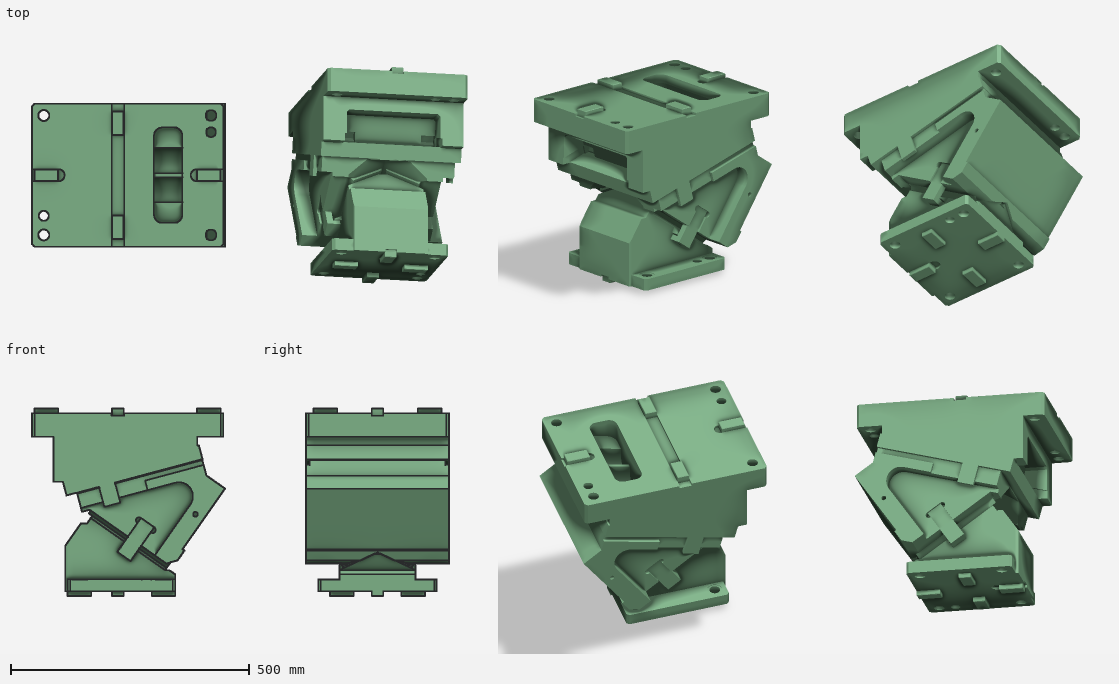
import cadquery as cq
import math


HALF_WIDTH = 150.0
TOP_FACE_Z = 373.0
GUIDE_ANGLE = 15.0
CAM_ANGLE = 35.0
CROSS_ANGLE = GUIDE_ANGLE + CAM_ANGLE
VEE_SLOPE = math.tan(math.radians(30))

KEY_WIDTH = 25.0
KEY_LENGTH = 50.0
KEY_HEIGHT = 10.0
KEY_CHAMFER = 1.0
KEY_SLOT_DEPTH = 5.5
KEY_SLOT_LENGTH = 68.5
CROSS_SLOT_WIDTH = 26.5

PLATE_LEFT_X = -180.0
PLATE_RIGHT_X = 221.0
PLATE_THICKNESS = 50.0
PLATE_CHAMFER = 6.0
BODY_LEFT_X = -135.0
BODY_RIGHT_X = 166.5
BODY_LEFT_Z = 229.0
BODY_RIGHT_Z = 305.7
HOLDER_LEFT_U = -52.0
HOLDER_RIGHT_U = 243.0
HOLDER_BOTTOM_V = 221.5
TONGUE_LEFT_U = 18.4
TONGUE_RIGHT_U = 53.0
TONGUE_BOTTOM_V = 178.0
LEDGE_HALF_WIDTH = 142.0
TOP_KEY_INSET = 5.5
TOP_CROSS_KEY_Y = 109.0
SCREW_HOLE = 22.5
DOWEL_HOLE = 20.5
LEFT_HOLES_X = -155.0
RIGHT_HOLES_X = 195.0
HOLES_Y = 125.0
LEFT_DOWEL_Y = -85.0
RIGHT_DOWEL_Y = 90.0

WINDOW_LEFT_X = 75.5
WINDOW_RIGHT_X = 135.0
WINDOW_LENGTH = 200.0
WINDOW_RADIUS = 18.0
WINDOW_BEND_Z = 354.0
WINDOW_FLOOR_V = 294.5
GROOVE_RADIUS = 26.5
GROOVE_Y = 30.5
GROOVE_AXIS_V = 280.5

CHAMBER_HALF_WIDTH = 100.0
CHAMBER_TOP_Z = 296.5
CHAMBER_CORNER = 5.0
CHAMBER_FLOOR_V = 252.5
CHAMBER_WALL_U = -10.0
CHANNEL_HALF_WIDTH = 104.0
CHANNEL_TOP_V = 271.5
NICHE_INNER_Y = 70.5
NICHE_TOP_V = 274.6
NICHE_DEPTH = 9.0
NICHE_STEP = 3.0
NICHE_RAMP = 5.5

SLIDE_LEFT_U = -29.5
SLIDE_RIGHT_U = 242.0
SLIDE_TOP_V = 219.5
LEDGE_BOTTOM_V = 188.5
SLIDE_LEFT_BOTTOM_V = 180.0
SLIDE_RIGHT_BOTTOM_V = 30.0
SLIDE_BOTTOM_T = 105.8
SLIDE_TIP_X = 224.52
SLIDE_TIP_T = 305.0
HEEL_S = 65.3
HEEL_TOP_T = 150.0
CORE_HALF_WIDTH = 118.0
STRAP_LEFT_U = 115.0
STRAP_TOP_V = 209.0
STRAP_INNER_S = 20.0
STRAP_RADIUS = 29.5
SIDE_HOLE_X = 162.3
SIDE_HOLE_Z = 161.3
SIDE_HOLE = 10.0
SIDE_HOLE_DEPTH = 20.0
VEE_HALF_WIDTH = 84.0
WEAR_PLATE_THICKNESS = 4.8
WEAR_PLATE_INNER_Y = 5.0
WEAR_PLATE_OUTER_Y = 70.5
WEAR_PLATE_LEFT_S = -143.5

HOOK_CENTRE_S = -31.5
HOOK_WIDTH = 34.0
HOOK_TOP_T = 153.5
HOOK_BOTTOM_T = 67.0
HOOK_FOOT_TOP_T = 78.0
HOOK_OUTER_Y = 113.0
HOOK_INNER_Y = 99.5
HOOK_FOOT_Y = 85.0
RELIEF_RADIUS = 6.5
RELIEF_OFFSET_S = 17.5
RELIEF_T = 147.0

BASE_LEFT_X = -110.5
BASE_RIGHT_X = 120.5
BASE_HALF_WIDTH = 80.0
BASE_EDGE_LENGTH = 5.5
BASE_EDGE_DEPTH = 1.5
FLANGE_LEFT_X = -105.0
FLANGE_HALF_WIDTH = 124.0
FLANGE_THICKNESS = 25.0
FLANGE_CHAMFER = 5.5
BACK_S = -145.0
ROOF_LEFT_S = -134.5
ROOF_RIGHT_S = 55.5
EAVE_T = 93.0
RIDGE_HALF_WIDTH = 10.0
BACK_LEDGE_Z = 142.0
FRONT_LEDGE_Z = 44.6
FRONT_LEDGE_X = 107.0
FRONT_EDGE_Z = 35.4
LUG_OUTER_Y = 95.5
LUG_BOTTOM_T = 81.0
BASE_KEY_LEFT_X = -105.5
BASE_KEY_RIGHT_X = 70.5
BASE_CROSS_KEY_Y = 74.5
BASE_HOLES_Y = 100.0
BASE_HOLES_X = (-80.0, 95.0)
BASE_DOWEL_X = 60.0
SPOTFACE = 31.5
SPOTFACE_DEPTH = 1.0

GUIDE_COS, GUIDE_SIN = math.cos(math.radians(GUIDE_ANGLE)), math.sin(math.radians(GUIDE_ANGLE))
CAM_COS, CAM_SIN = math.cos(math.radians(CAM_ANGLE)), math.sin(math.radians(CAM_ANGLE))
CROSS_COS, CROSS_SIN = math.cos(math.radians(CROSS_ANGLE)), math.sin(math.radians(CROSS_ANGLE))


def guide(u, v):
    """(X, Z) of a point u along the guide and v square to it."""
    return (u * GUIDE_COS - v * GUIDE_SIN, u * GUIDE_SIN + v * GUIDE_COS)


def cam(s, t):
    """(X, Z) of a point s along the cam face and t square to it."""
    return (s * CAM_COS + t * CAM_SIN, t * CAM_COS - s * CAM_SIN)


def guide_at_x(x, v):
    """Point on the guide line v at the given X."""
    return (x, (v + x * GUIDE_SIN) / GUIDE_COS)


def guide_u(x, v):
    """Distance u at which the guide line v has the given X."""
    return (x + v * GUIDE_SIN) / GUIDE_COS


def guide_end_at_z(u, z):
    """Point at height z on the line square to the guide at u."""
    return ((u - z * GUIDE_SIN) / GUIDE_COS, z)


def cam_end_at_z(s, z):
    """Point at height z on the line square to the cam face at s."""
    return ((s + z * CAM_SIN) / CAM_COS, z)


def cam_end_at_x(s, x):
    """Point at X on the line square to the cam face at s."""
    return (x, (x * CAM_COS - s) / CAM_SIN)


def cam_meets_guide(t, v):
    """Where the cam line t crosses the guide line v."""
    return cam((t * CROSS_COS - v) / CROSS_SIN, t)


def cam_meets_guide_end(t, u):
    """Where the cam line t crosses the line square to the guide at u."""
    return cam((u - t * CROSS_SIN) / CROSS_COS, t)


def cam_end_meets_guide(s, v):
    """Where the line square to the cam face at s crosses the guide line v."""
    return cam(s, (v + s * CROSS_SIN) / CROSS_COS)


def prism(points, low_y, high_y):
    """Extrude an (X, Z) outline between two Y values."""
    plane = cq.Workplane("XZ", origin=(0, high_y, 0))
    return plane.polyline(points).close().extrude(high_y - low_y)


def centred_prism(points, half_width):
    return prism(points, -half_width, half_width)


def both_sides(body):
    """The body together with its mirror image across Y = 0."""
    return body.union(body.mirror("XZ"))


def box(low_x, high_x, low_y, high_y, low_z, high_z):
    sheet = cq.Workplane("XY", origin=((low_x + high_x) / 2, (low_y + high_y) / 2, low_z))
    return sheet.rect(high_x - low_x, high_y - low_y).extrude(high_z - low_z)


def along_cam(points, start_s, end_s):
    """Extrude a (Y, t) section along the cam face."""
    x, z = cam(start_s, 0)
    plane = cq.Plane(origin=(x, 0, z), xDir=(0, 1, 0), normal=(CAM_COS, 0, -CAM_SIN))
    return cq.Workplane(plane).polyline(points).close().extrude(end_s - start_s)


def hole(x, y, diameter, low_z, high_z):
    return cq.Workplane("XY", origin=(x, y, low_z)).circle(diameter / 2).extrude(high_z - low_z)


def key(centre_x, centre_y, length_x, length_y, low_z, high_z, outer_face):
    """Key block with a chamfer around its outer face."""
    blank = cq.Workplane("XY", origin=(centre_x, centre_y, low_z)).rect(length_x, length_y)
    return blank.extrude(high_z - low_z).faces(outer_face).chamfer(KEY_CHAMFER)


def key_slot(edge_x, end_x, low_z, high_z):
    """Slot open at edge_x, with a round end reaching end_x."""
    radius = KEY_WIDTH / 2
    centre_x = end_x - math.copysign(radius, end_x - edge_x)
    left_x, right_x = sorted((edge_x, centre_x))
    straight = box(left_x, right_x, -radius, radius, low_z, high_z)
    return straight.union(hole(centre_x, 0, KEY_WIDTH, low_z, high_z))


WINDOW_WALL_U = WINDOW_RIGHT_X * GUIDE_COS + WINDOW_BEND_Z * GUIDE_SIN
PLATE_BOTTOM_Z = TOP_FACE_Z - PLATE_THICKNESS


def holder_blank():
    plate = box(PLATE_LEFT_X, PLATE_RIGHT_X, -HALF_WIDTH, HALF_WIDTH, PLATE_BOTTOM_Z, TOP_FACE_Z)
    plate = plate.edges("|Z").chamfer(PLATE_CHAMFER)
    body = centred_prism(
        [
            (BODY_LEFT_X, PLATE_BOTTOM_Z),
            (BODY_LEFT_X, BODY_LEFT_Z),
            guide_end_at_z(HOLDER_LEFT_U, BODY_LEFT_Z),
            guide(HOLDER_LEFT_U, HOLDER_BOTTOM_V),
            guide(HOLDER_RIGHT_U, HOLDER_BOTTOM_V),
            guide_end_at_z(HOLDER_RIGHT_U, BODY_RIGHT_Z),
            (BODY_RIGHT_X, BODY_RIGHT_Z),
            (BODY_RIGHT_X, PLATE_BOTTOM_Z),
        ],
        HALF_WIDTH,
    )
    guide_pad = centred_prism(
        [
            guide(SLIDE_LEFT_U, SLIDE_TOP_V),
            guide(SLIDE_RIGHT_U, SLIDE_TOP_V),
            guide(SLIDE_RIGHT_U, HOLDER_BOTTOM_V),
            guide(SLIDE_LEFT_U, HOLDER_BOTTOM_V),
        ],
        LEDGE_HALF_WIDTH,
    )
    tongue = prism(
        [
            guide(TONGUE_LEFT_U, HOLDER_BOTTOM_V),
            guide(TONGUE_LEFT_U, TONGUE_BOTTOM_V),
            guide(TONGUE_RIGHT_U, TONGUE_BOTTOM_V),
            guide(TONGUE_RIGHT_U, HOLDER_BOTTOM_V),
        ],
        LEDGE_HALF_WIDTH,
        HALF_WIDTH,
    )
    return plate.union(body).union(guide_pad).union(both_sides(tongue))


def chamber():
    """Opening in the left face, with a channel along its floor and a niche on each side."""
    wall_foot = guide(CHAMBER_WALL_U, CHAMBER_FLOOR_V)
    mouth_foot = guide_end_at_z(HOLDER_LEFT_U, BODY_LEFT_Z)
    mouth_floor = guide(HOLDER_LEFT_U, CHAMBER_FLOOR_V)
    room = centred_prism(
        [
            (BODY_LEFT_X, BODY_LEFT_Z),
            mouth_foot,
            mouth_floor,
            wall_foot,
            guide_end_at_z(CHAMBER_WALL_U, CHAMBER_TOP_Z),
            (BODY_LEFT_X, CHAMBER_TOP_Z),
        ],
        CHAMBER_HALF_WIDTH,
    )
    room = room.faces(">Z").edges("|X").chamfer(CHAMBER_CORNER)
    channel = centred_prism(
        [
            (BODY_LEFT_X, BODY_LEFT_Z),
            mouth_foot,
            mouth_floor,
            wall_foot,
            guide(CHAMBER_WALL_U, CHANNEL_TOP_V),
            guide_at_x(BODY_LEFT_X, CHANNEL_TOP_V),
        ],
        CHANNEL_HALF_WIDTH,
    )
    niche_end_u = CHAMBER_WALL_U + NICHE_DEPTH
    niche = prism(
        [
            wall_foot,
            guide(niche_end_u, CHAMBER_FLOOR_V),
            guide(niche_end_u, CHAMBER_FLOOR_V + NICHE_STEP),
            guide(niche_end_u + NICHE_RAMP, CHAMBER_FLOOR_V + NICHE_STEP + NICHE_RAMP),
            guide(niche_end_u + NICHE_RAMP, NICHE_TOP_V),
            guide(CHAMBER_WALL_U, NICHE_TOP_V),
        ],
        NICHE_INNER_Y,
        CHAMBER_HALF_WIDTH,
    )
    return room.union(channel).union(both_sides(niche))


def groove(y):
    """U-shaped spring groove running along the guide, open at the window floor."""
    start_u = guide_u(WINDOW_LEFT_X, WINDOW_FLOOR_V) - GROOVE_RADIUS
    x, z = guide(start_u, GROOVE_AXIS_V)
    plane = cq.Plane(origin=(x, 0, z), xDir=(0, 1, 0), normal=(GUIDE_COS, 0, GUIDE_SIN))
    rise = WINDOW_FLOOR_V - GROOVE_AXIS_V
    section = cq.Workplane(plane).moveTo(y - GROOVE_RADIUS, rise).lineTo(y - GROOVE_RADIUS, 0)
    section = section.threePointArc((y, -GROOVE_RADIUS), (y + GROOVE_RADIUS, 0))
    section = section.lineTo(y + GROOVE_RADIUS, rise).close()
    return section.extrude(WINDOW_WALL_U - start_u)


def window():
    """Rounded opening in the top; below it a slanted floor with two grooves and a slanted end wall."""
    centre_x = (WINDOW_LEFT_X + WINDOW_RIGHT_X) / 2
    shaft = cq.Workplane("XY", origin=(centre_x, 0, WINDOW_BEND_Z))
    shaft = shaft.rect(WINDOW_RIGHT_X - WINDOW_LEFT_X, WINDOW_LENGTH)
    shaft = shaft.extrude(TOP_FACE_Z - WINDOW_BEND_Z)
    shaft = shaft.edges("|Z").fillet(WINDOW_RADIUS)
    pocket = centred_prism(
        [
            (WINDOW_LEFT_X, WINDOW_BEND_Z),
            guide_at_x(WINDOW_LEFT_X, WINDOW_FLOOR_V),
            guide(WINDOW_WALL_U, WINDOW_FLOOR_V),
            (WINDOW_RIGHT_X, WINDOW_BEND_Z),
        ],
        WINDOW_LENGTH / 2,
    )
    up_the_end_wall = cq.Vector(-GUIDE_SIN, 0, GUIDE_COS)
    pocket = pocket.edges("|Z").fillet(WINDOW_RADIUS)
    pocket = pocket.edges(cq.selectors.ParallelDirSelector(up_the_end_wall)).fillet(WINDOW_RADIUS)
    right_of_window = box(
        WINDOW_LEFT_X, PLATE_RIGHT_X, -HALF_WIDTH, HALF_WIDTH, HOLDER_BOTTOM_V, TOP_FACE_Z
    )
    grooves = groove(-GROOVE_Y).union(groove(GROOVE_Y)).intersect(right_of_window)
    return shaft.union(pocket).union(grooves)


def make_holder():
    holder = holder_blank().cut(chamber()).cut(window())
    slot_z = TOP_FACE_Z - KEY_SLOT_DEPTH
    key_top = TOP_FACE_Z + KEY_HEIGHT
    half_slot = CROSS_SLOT_WIDTH / 2
    holder = holder.cut(box(-half_slot, half_slot, -HALF_WIDTH, HALF_WIDTH, slot_z, TOP_FACE_Z))
    for edge_x, inward in ((PLATE_LEFT_X, 1), (PLATE_RIGHT_X, -1)):
        holder = holder.cut(key_slot(edge_x, edge_x + inward * KEY_SLOT_LENGTH, slot_z, TOP_FACE_Z))
        key_x = edge_x + inward * (TOP_KEY_INSET + KEY_LENGTH / 2)
        holder = holder.union(key(key_x, 0, KEY_LENGTH, KEY_WIDTH, slot_z, key_top, ">Z"))
    for y in (-TOP_CROSS_KEY_Y, TOP_CROSS_KEY_Y):
        holder = holder.union(key(0, y, KEY_WIDTH, KEY_LENGTH, slot_z, key_top, ">Z"))
    for x, dowel_y in ((LEFT_HOLES_X, LEFT_DOWEL_Y), (RIGHT_HOLES_X, RIGHT_DOWEL_Y)):
        for y in (-HOLES_Y, HOLES_Y):
            holder = holder.cut(hole(x, y, SCREW_HOLE, PLATE_BOTTOM_Z, TOP_FACE_Z))
        holder = holder.cut(hole(x, dowel_y, DOWEL_HOLE, PLATE_BOTTOM_Z, TOP_FACE_Z))
    return holder


TIP_S = (SLIDE_TIP_X - SLIDE_TIP_T * CAM_SIN) / CAM_COS
TIP = cam(TIP_S, SLIDE_TIP_T)
HEEL_OUTLINE = [
    cam(TIP_S, HEEL_TOP_T),
    cam(HEEL_S, HEEL_TOP_T),
    cam_end_meets_guide(HEEL_S, SLIDE_RIGHT_BOTTOM_V),
    cam_meets_guide(SLIDE_BOTTOM_T, SLIDE_RIGHT_BOTTOM_V),
]


def slide_blank():
    core = centred_prism(
        [
            guide(SLIDE_LEFT_U, LEDGE_BOTTOM_V),
            guide(SLIDE_RIGHT_U, LEDGE_BOTTOM_V),
            cam_meets_guide_end(SLIDE_TIP_T, SLIDE_RIGHT_U),
            TIP,
            *HEEL_OUTLINE,
            cam_meets_guide(SLIDE_BOTTOM_T, SLIDE_LEFT_BOTTOM_V),
            guide(SLIDE_LEFT_U, SLIDE_LEFT_BOTTOM_V),
        ],
        CORE_HALF_WIDTH,
    )
    ledge = centred_prism(
        [
            guide(SLIDE_LEFT_U, LEDGE_BOTTOM_V),
            guide(SLIDE_RIGHT_U, LEDGE_BOTTOM_V),
            guide(SLIDE_RIGHT_U, SLIDE_TOP_V),
            guide(SLIDE_LEFT_U, SLIDE_TOP_V),
        ],
        LEDGE_HALF_WIDTH,
    )
    return core.union(ledge)


def side_strap():
    """L-shaped strap that thickens one side of the slide, with a rounded inner corner."""
    corner = cam_end_meets_guide(STRAP_INNER_S, LEDGE_BOTTOM_V)
    strap = prism(
        [
            guide(STRAP_LEFT_U, LEDGE_BOTTOM_V),
            guide(STRAP_LEFT_U, STRAP_TOP_V),
            guide(SLIDE_RIGHT_U, STRAP_TOP_V),
            cam_meets_guide_end(SLIDE_TIP_T, SLIDE_RIGHT_U),
            TIP,
            *HEEL_OUTLINE,
            cam(STRAP_INNER_S, SLIDE_BOTTOM_T),
            corner,
        ],
        CORE_HALF_WIDTH,
        HALF_WIDTH,
    )
    middle_y = (CORE_HALF_WIDTH + HALF_WIDTH) / 2
    corner_edge = cq.selectors.NearestToPointSelector((corner[0], middle_y, corner[1]))
    strap = strap.edges("|Y").edges(corner_edge).fillet(STRAP_RADIUS)
    bore = cq.Workplane("XZ", origin=(SIDE_HOLE_X, HALF_WIDTH, SIDE_HOLE_Z))
    return strap.cut(bore.circle(SIDE_HOLE / 2).extrude(SIDE_HOLE_DEPTH))


def vee_height(y):
    """Height t of the base roof plane at distance y from the symmetry plane."""
    return EAVE_T + (BASE_HALF_WIDTH - y) * VEE_SLOPE


VEE_RISE = WEAR_PLATE_THICKNESS * math.hypot(1, VEE_SLOPE)


def vee_cutter():
    """Inverted vee cut out of the slide underside, one wear plate clear of the base roof."""
    edge_t = vee_height(VEE_HALF_WIDTH) + VEE_RISE
    return along_cam(
        [
            (-VEE_HALF_WIDTH, 0),
            (-VEE_HALF_WIDTH, edge_t),
            (0, vee_height(0) + VEE_RISE),
            (VEE_HALF_WIDTH, edge_t),
            (VEE_HALF_WIDTH, 0),
        ],
        WEAR_PLATE_LEFT_S - CORE_HALF_WIDTH,
        HEEL_S,
    )


RELIEF_PEAK_Y = (
    SLIDE_BOTTOM_T - vee_height(WEAR_PLATE_OUTER_Y)
    + VEE_HALF_WIDTH * VEE_SLOPE + WEAR_PLATE_OUTER_Y / VEE_SLOPE
) / (VEE_SLOPE + 1 / VEE_SLOPE)
RELIEF_PEAK_T = SLIDE_BOTTOM_T + (VEE_HALF_WIDTH - RELIEF_PEAK_Y) * VEE_SLOPE


def wear_plate():
    """Plate between the vee and the base roof, thicker along its outer edge."""
    vee_meets_bottom_y = BASE_HALF_WIDTH - (SLIDE_BOTTOM_T - EAVE_T - VEE_RISE) / VEE_SLOPE
    return along_cam(
        [
            (WEAR_PLATE_INNER_Y, vee_height(WEAR_PLATE_INNER_Y)),
            (WEAR_PLATE_OUTER_Y, vee_height(WEAR_PLATE_OUTER_Y)),
            (RELIEF_PEAK_Y, RELIEF_PEAK_T),
            (vee_meets_bottom_y, SLIDE_BOTTOM_T),
            (WEAR_PLATE_INNER_Y, vee_height(WEAR_PLATE_INNER_Y) + VEE_RISE),
        ],
        WEAR_PLATE_LEFT_S,
        ROOF_RIGHT_S,
    )


def edge_relief_groove():
    """Shallow groove in the slide underside along the outer edge of a wear plate."""
    return along_cam(
        [
            (WEAR_PLATE_OUTER_Y, SLIDE_BOTTOM_T),
            (RELIEF_PEAK_Y, RELIEF_PEAK_T),
            (VEE_HALF_WIDTH, SLIDE_BOTTOM_T),
        ],
        WEAR_PLATE_LEFT_S,
        HEEL_S,
    )


HOOK_LEFT_S = HOOK_CENTRE_S - HOOK_WIDTH / 2
HOOK_RIGHT_S = HOOK_CENTRE_S + HOOK_WIDTH / 2


def hook_seat():
    """Pocket in the slide side for a hook, with round reliefs at its upper corners."""
    seat = along_cam(
        [
            (HOOK_INNER_Y, SLIDE_BOTTOM_T),
            (CORE_HALF_WIDTH, SLIDE_BOTTOM_T),
            (CORE_HALF_WIDTH, HOOK_TOP_T),
            (HOOK_INNER_Y, HOOK_TOP_T),
        ],
        HOOK_LEFT_S,
        HOOK_RIGHT_S,
    )
    for offset in (-RELIEF_OFFSET_S, RELIEF_OFFSET_S):
        x, z = cam(HOOK_CENTRE_S + offset, RELIEF_T)
        relief = cq.Workplane("XZ", origin=(x, CORE_HALF_WIDTH, z)).circle(RELIEF_RADIUS)
        seat = seat.union(relief.extrude(CORE_HALF_WIDTH - HOOK_INNER_Y))
    return seat


def hook():
    """L-shaped return hook reaching under the lug of the base."""
    return along_cam(
        [
            (HOOK_INNER_Y, HOOK_TOP_T),
            (HOOK_OUTER_Y, HOOK_TOP_T),
            (HOOK_OUTER_Y, HOOK_BOTTOM_T),
            (HOOK_FOOT_Y, HOOK_BOTTOM_T),
            (HOOK_FOOT_Y, HOOK_FOOT_TOP_T),
            (HOOK_INNER_Y, HOOK_FOOT_TOP_T),
        ],
        HOOK_LEFT_S,
        HOOK_RIGHT_S,
    )


def make_slide():
    slide = slide_blank().union(both_sides(side_strap()))
    slide = slide.cut(vee_cutter()).cut(both_sides(edge_relief_groove())).cut(both_sides(hook_seat()))
    return slide.union(both_sides(wear_plate())).union(both_sides(hook()))


def base_block():
    """Block with a slanted vee roof; its left vertical edges are slightly relieved."""
    ridge_t = vee_height(RIDGE_HALF_WIDTH)
    side = centred_prism(
        [
            (BASE_LEFT_X, 0),
            cam_end_at_x(BACK_S, BASE_LEFT_X),
            cam_end_at_z(BACK_S, BACK_LEDGE_Z),
            cam_end_at_z(ROOF_LEFT_S, BACK_LEDGE_Z),
            cam(ROOF_LEFT_S, ridge_t),
            cam(ROOF_RIGHT_S, ridge_t),
            cam_end_at_z(ROOF_RIGHT_S, FRONT_LEDGE_Z),
            (FRONT_LEDGE_X, FRONT_LEDGE_Z),
            (BASE_RIGHT_X, FRONT_EDGE_Z),
            (BASE_RIGHT_X, 0),
        ],
        BASE_HALF_WIDTH,
    )
    above_roof = along_cam(
        [
            (RIDGE_HALF_WIDTH, ridge_t),
            (BASE_HALF_WIDTH, EAVE_T),
            (BASE_HALF_WIDTH, ridge_t),
        ],
        ROOF_LEFT_S,
        ROOF_RIGHT_S,
    )
    edge_relief = cq.Workplane("XY").polyline(
        [
            (BASE_LEFT_X, BASE_HALF_WIDTH),
            (BASE_LEFT_X, BASE_HALF_WIDTH - BASE_EDGE_DEPTH),
            (BASE_LEFT_X + BASE_EDGE_LENGTH, BASE_HALF_WIDTH),
        ]
    )
    edge_relief = edge_relief.close().extrude(BACK_LEDGE_Z)
    return side.cut(both_sides(above_roof)).cut(both_sides(edge_relief))


def lug():
    """Side lug that the hook catches; its top continues the roof slope."""
    return along_cam(
        [
            (BASE_HALF_WIDTH, LUG_BOTTOM_T),
            (LUG_OUTER_Y, LUG_BOTTOM_T),
            (LUG_OUTER_Y, vee_height(LUG_OUTER_Y)),
            (BASE_HALF_WIDTH, EAVE_T),
        ],
        HOOK_LEFT_S,
        HOOK_RIGHT_S,
    )


def make_base():
    flange = box(FLANGE_LEFT_X, BASE_RIGHT_X, -FLANGE_HALF_WIDTH, FLANGE_HALF_WIDTH, 0, FLANGE_THICKNESS)
    flange = flange.edges("|Z").chamfer(FLANGE_CHAMFER)
    base = base_block().union(flange).union(both_sides(lug()))
    base = base.cut(key_slot(BASE_LEFT_X, BASE_KEY_LEFT_X + KEY_SLOT_LENGTH, 0, KEY_SLOT_DEPTH))
    for left_x in (BASE_KEY_LEFT_X, BASE_KEY_RIGHT_X):
        key_x = left_x + KEY_LENGTH / 2
        base = base.union(key(key_x, 0, KEY_LENGTH, KEY_WIDTH, -KEY_HEIGHT, KEY_SLOT_DEPTH, "<Z"))
    for y in (-BASE_CROSS_KEY_Y, BASE_CROSS_KEY_Y):
        base = base.union(key(0, y, KEY_WIDTH, KEY_LENGTH, -KEY_HEIGHT, KEY_SLOT_DEPTH, "<Z"))
    for y in (-BASE_HOLES_Y, BASE_HOLES_Y):
        for x in BASE_HOLES_X:
            base = base.cut(hole(x, y, SCREW_HOLE, 0, FLANGE_THICKNESS))
            base = base.cut(hole(x, y, SPOTFACE, FLANGE_THICKNESS - SPOTFACE_DEPTH, FLANGE_THICKNESS))
    return base.cut(hole(BASE_DOWEL_X, -BASE_HOLES_Y, DOWEL_HOLE, 0, FLANGE_THICKNESS))


holder = make_holder()
slide = make_slide()
base = make_base()

result = cq.Compound.makeCompound([holder.val(), slide.val(), base.val()])